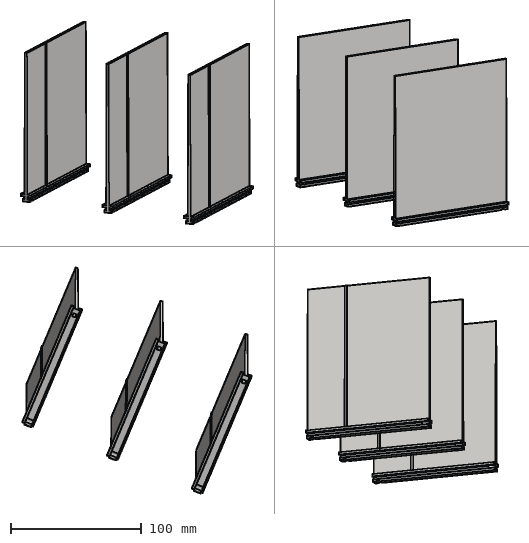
import cadquery as cq

TOTAL_SPAN = 149.0
LENGTH = 100.0
TOTAL_HEIGHT = 118.9
PANEL_COUNT = 3

FOOT_WIDTH = 5.7
FOOT_THICKNESS = 2.0
WEB_WIDTH = 2.7
WEB_HEIGHT = 2.1
FLANGE_WIDTH = 9.0
FLANGE_THICKNESS = 1.8

PANEL_TOP_THICKNESS = 2.0
PANEL_BASE_THICKNESS = WEB_WIDTH

RIB_WIDTH = 2.0
RIB_HEIGHT = 0.5
RIB_INSET = 31.6

BARB_LENGTH = 5.5
BARB_WIDTH = 4.8
BARB_END_WIDTH = WEB_WIDTH

BUMP_HEIGHT = 0.6
BUMP_CHORD = 2.7
GROOVE_CHORD = 3.3
GROOVE_DEPTH = BUMP_HEIGHT
BUMP_INSET = 5.0
GROOVE_INSET = 4.0

PITCH = (TOTAL_SPAN - FLANGE_WIDTH) / (PANEL_COUNT - 1)
WEB_BOTTOM = FOOT_THICKNESS
FLANGE_BOTTOM = WEB_BOTTOM + WEB_HEIGHT
FLANGE_TOP = FLANGE_BOTTOM + FLANGE_THICKNESS
PANEL_TOP = TOTAL_HEIGHT - BUMP_HEIGHT
FRONT_Y = -LENGTH / 2
BACK_Y = LENGTH / 2
BUMP_Y = BACK_Y - BUMP_INSET
RIB_Y = FRONT_Y + RIB_INSET
GROOVE_Y = FRONT_Y + GROOVE_INSET


def arc_radius(chord, height):
    """Radius of a circular arc from its chord and its rise."""
    return ((chord / 2) ** 2 + height**2) / (2 * height)


def bar(width, bottom, height):
    """A full-length rectangular bar centred on X = 0."""
    return cq.Workplane("XY", origin=(0, 0, bottom)).rect(width, LENGTH).extrude(height)


def tapered_panel():
    """The tall sheet, thinner at its top edge than at the flange."""
    half_base = PANEL_BASE_THICKNESS / 2
    half_top = PANEL_TOP_THICKNESS / 2
    return (
        cq.Workplane("XZ", origin=(0, BACK_Y, 0))
        .polyline([
            (-half_base, FLANGE_TOP),
            (half_base, FLANGE_TOP),
            (half_top, PANEL_TOP),
            (-half_top, PANEL_TOP),
        ])
        .close()
        .extrude(LENGTH)
    )


def barb():
    """A wedge through the web: a square shoulder facing -Y that narrows toward the +Y end."""
    shoulder_y = BACK_Y - BARB_LENGTH
    return (
        cq.Workplane("XY", origin=(0, 0, WEB_BOTTOM))
        .polyline([
            (-BARB_WIDTH / 2, shoulder_y),
            (BARB_WIDTH / 2, shoulder_y),
            (BARB_END_WIDTH / 2, BACK_Y),
            (-BARB_END_WIDTH / 2, BACK_Y),
        ])
        .close()
        .extrude(WEB_HEIGHT)
    )


def rib():
    """A full-height strip of constant thickness that follows the slope of the panel's +X face."""
    half_base = PANEL_BASE_THICKNESS / 2
    half_top = PANEL_TOP_THICKNESS / 2
    return (
        cq.Workplane("XZ", origin=(0, RIB_Y + RIB_WIDTH / 2, 0))
        .polyline([
            (0, FLANGE_TOP),
            (half_base + RIB_HEIGHT, FLANGE_TOP),
            (half_top + RIB_HEIGHT, PANEL_TOP),
            (0, PANEL_TOP),
        ])
        .close()
        .extrude(RIB_WIDTH)
    )


def cylinder_along_x(radius, width, y, z):
    """A cylinder lying along X, centred on X = 0."""
    return cq.Workplane("YZ", origin=(-width / 2, y, z)).circle(radius).extrude(width)


def detent_bump():
    """The part-round bump on the underside of the foot."""
    radius = arc_radius(BUMP_CHORD, BUMP_HEIGHT)
    bump = cylinder_along_x(radius, WEB_WIDTH, BUMP_Y, radius - BUMP_HEIGHT)
    below_foot = cq.Workplane("XY").rect(FLANGE_WIDTH, LENGTH).extrude(-BUMP_HEIGHT)
    return bump.intersect(below_foot)


def detent_groove():
    """The part-round groove across the full width of the foot."""
    radius = arc_radius(GROOVE_CHORD, GROOVE_DEPTH)
    return cylinder_along_x(radius, FOOT_WIDTH, GROOVE_Y, GROOVE_DEPTH - radius)


def panel_on_rail():
    """One panel with its rib, flange, web, foot, barb and detent."""
    body = bar(FOOT_WIDTH, 0, FOOT_THICKNESS)
    body = body.union(bar(WEB_WIDTH, WEB_BOTTOM, WEB_HEIGHT))
    body = body.union(bar(FLANGE_WIDTH, FLANGE_BOTTOM, FLANGE_THICKNESS))
    body = body.union(tapered_panel())
    body = body.union(rib())
    body = body.union(barb())
    body = body.union(detent_bump())
    return body.cut(detent_groove())


panel = panel_on_rail()
panels = [
    panel.translate(((index - (PANEL_COUNT - 1) / 2) * PITCH, 0, 0)).val()
    for index in range(PANEL_COUNT)
]
result = cq.Compound.makeCompound(panels)